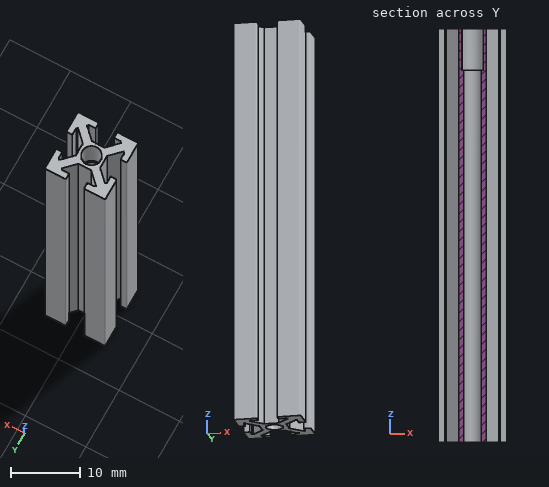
import cadquery as cq
import math

length = 60.0
width = 10.0
slot_opening = 3.0
lip_thickness = 1.0
core_width = 4.0
core_flat = 2.1
edge_radius = 0.2
pocket_end = 0.3

hole_diameter = 2.5
bore_diameter = 3.0
bore_depth = 6.0

half_width = width / 2
half_opening = slot_opening / 2
lip_inside = half_width - lip_thickness
core_face = core_width / 2
half_flat = core_flat / 2

half_slot_width = half_flat + (lip_inside - core_face)
end_step = pocket_end / math.sqrt(2)


def make_slot():
    """T-slot cutter on the +X side, running the whole length."""
    outline = [
        (half_width, half_opening),
        (lip_inside, half_opening),
        (lip_inside, half_slot_width - 2 * end_step),
        (lip_inside - end_step, half_slot_width - end_step),
        (core_face, half_flat),
    ]
    mirrored = [(x, -y) for x, y in reversed(outline)]
    return cq.Workplane("XY").polyline(outline + mirrored).close().extrude(length)


def make_hole():
    """Through hole with the wider bore at the top end."""
    hole = cq.Workplane("XY").circle(hole_diameter / 2).extrude(length)
    bore = (
        cq.Workplane("XY")
        .workplane(offset=length - bore_depth)
        .circle(bore_diameter / 2)
        .extrude(bore_depth)
    )
    return hole.union(bore)


rail = cq.Workplane("XY").rect(width, width).extrude(length)

slot = make_slot()
for side in range(4):
    rail = rail.cut(slot.rotate((0, 0, 0), (0, 0, 1), 90 * side))

outer_edges = rail.faces("<X or >X or <Y or >Y").edges("|Z")
rail = outer_edges.fillet(edge_radius)

result = rail.cut(make_hole())